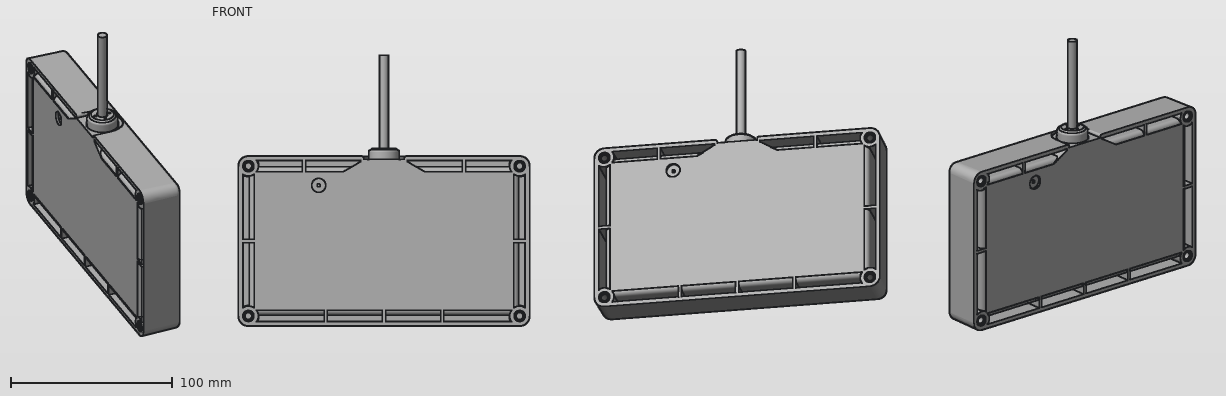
import cadquery as cq
import math

WIDTH = 180.1
DEPTH = 25.8
HEIGHT = 105.2
CORNER_RADIUS = 6.3
DRAFT_ANGLE = 1.0
BACK_EDGE_RADIUS = 2.9

WALL = 2.7
CHANNEL_WIDTH = 7.2
CHANNEL_DEPTH = DEPTH - WALL
CORE_STEP = 0.4
CORE_EDGE_RADIUS = 3.0
RIB_THICKNESS = 2.0
BOTTOM_RIB_SPACING = 36.0
TOP_RIB_X = 49.3

BLOCK_INNER_HALF_WIDTH = 25.4
BLOCK_OUTER_HALF_WIDTH = 14.2
BLOCK_FLANK_ANGLE = 30.0

BOSS_RADIUS = 6.1
SCREW_RADIUS = 2.2
SCREW_CHAMFER = 0.5
SCREW_CHAMFER_ANGLE = 45.0
COUNTERBORE_RADIUS = 3.5
COUNTERBORE_DEPTH = 0.5
SCREW_DEPTH = 14.4

VENT_X = -40.3
VENT_Z = 34.4
VENT_RADIUS = 4.3
VENT_DEPTH = 1.6
VENT_HOLE_RADIUS = 0.99
VENT_HOLE_DEPTH = 3.6

SEAT_RADIUS = 12.6
SEAT_DEPTH = 2.2
SEAT_LIP_RADIUS = 1.5
SOCKET_RADIUS = 10.0
SOCKET_DEPTH = 1.8

GLAND_Y = 11.9
GLAND_RADIUS = 9.5
SHOULDER_RADIUS = 8.3
TIP_RADIUS = 7.0
COLLAR_HEIGHT = 4.5
SHOULDER_HEIGHT = 6.0
GLAND_HEIGHT = 7.0
CABLE_RADIUS = 2.9
CABLE_RELIEF_RADIUS = 3.5
CABLE_RELIEF_DEPTH = 0.5
OVERALL_HEIGHT = 167.5
NOTCH_COUNT = 4
NOTCH_INNER_RADIUS = 4.5
NOTCH_OUTER_RADIUS = 5.8
NOTCH_WIDTH = 1.5
NOTCH_DEPTH = 0.5

TOP_Z = HEIGHT / 2
SEAT_Z = TOP_Z - SEAT_DEPTH
SOCKET_Z = SEAT_Z - SOCKET_DEPTH
CABLE_TOP_Z = OVERALL_HEIGHT - HEIGHT / 2
CAVITY_HALF_X = WIDTH / 2 - WALL
CAVITY_HALF_Z = HEIGHT / 2 - WALL
CORE_HALF_X = CAVITY_HALF_X - CHANNEL_WIDTH
CORE_HALF_Z = CAVITY_HALF_Z - CHANNEL_WIDTH
BOSS_X = WIDTH / 2 - CORNER_RADIUS
BOSS_Z = HEIGHT / 2 - CORNER_RADIUS
BOSS_POINTS = [(sx * BOSS_X, sz * BOSS_Z) for sx in (-1, 1) for sz in (-1, 1)]


def front_plane(y=0.0):
    """XZ sketch plane at depth y; a negative extrusion goes into the housing."""
    return cq.Workplane("XZ", origin=(0, y, 0))


def block_at(x, z, size_x, size_z):
    """Prism as deep as the channel, centred on (x, z)."""
    return front_plane().center(x, z).rect(size_x, size_z).extrude(-CHANNEL_DEPTH)


def make_shell():
    """Drafted block with rounded corners and a rounded back edge."""
    outline = cq.Sketch().rect(WIDTH, HEIGHT).vertices().fillet(CORNER_RADIUS)
    shell = front_plane().placeSketch(outline).extrude(-DEPTH, taper=DRAFT_ANGLE)
    return shell.faces(">Y").edges().fillet(BACK_EDGE_RADIUS)


def make_core():
    """Centre of the housing: a thin plate on a larger block with a rounded front edge."""
    block_half_x = CORE_HALF_X + CORE_EDGE_RADIUS
    block_half_z = CORE_HALF_Z + CORE_EDGE_RADIUS
    block = front_plane(CORE_STEP).rect(2 * block_half_x, 2 * block_half_z)
    block = block.extrude(CORE_STEP - CHANNEL_DEPTH).faces("<Y").edges().fillet(CORE_EDGE_RADIUS)
    plate = front_plane().rect(2 * CORE_HALF_X, 2 * CORE_HALF_Z).extrude(-2 * CORE_STEP)
    return block.union(plate)


def make_gland_block():
    """Trapezoidal block that closes the channel below the gland seat."""
    flank_run = BLOCK_INNER_HALF_WIDTH - BLOCK_OUTER_HALF_WIDTH
    flank_top_z = CORE_HALF_Z + flank_run * math.tan(math.radians(BLOCK_FLANK_ANGLE))
    points = [
        (-BLOCK_INNER_HALF_WIDTH, CORE_HALF_Z),
        (-BLOCK_OUTER_HALF_WIDTH, flank_top_z),
        (-BLOCK_OUTER_HALF_WIDTH, TOP_Z),
        (BLOCK_OUTER_HALF_WIDTH, TOP_Z),
        (BLOCK_OUTER_HALF_WIDTH, flank_top_z),
        (BLOCK_INNER_HALF_WIDTH, CORE_HALF_Z),
    ]
    return front_plane().polyline(points).close().extrude(-CHANNEL_DEPTH)


def make_pockets():
    """Edge channel with the core, ribs, bosses and gland block left standing."""
    pockets = front_plane().rect(2 * CAVITY_HALF_X, 2 * CAVITY_HALF_Z)
    pockets = pockets.extrude(-CHANNEL_DEPTH, taper=DRAFT_ANGLE)
    pockets = pockets.cut(make_core()).cut(make_gland_block())
    for x in (-BOTTOM_RIB_SPACING, 0, BOTTOM_RIB_SPACING):
        pockets = pockets.cut(block_at(x, -BOSS_Z, RIB_THICKNESS, 2 * CHANNEL_WIDTH))
    for side in (-1, 1):
        pockets = pockets.cut(block_at(side * TOP_RIB_X, BOSS_Z, RIB_THICKNESS, 2 * CHANNEL_WIDTH))
        pockets = pockets.cut(block_at(side * BOSS_X, 0, 2 * CHANNEL_WIDTH, RIB_THICKNESS))
    bosses = front_plane().pushPoints(BOSS_POINTS).circle(BOSS_RADIUS)
    bosses = bosses.extrude(-CHANNEL_DEPTH, taper=-DRAFT_ANGLE)
    return pockets.cut(bosses)


def make_stepped_holes(points, radius, depth, step_radius, step_depth):
    """Blind holes in the front face, each with a wider mouth."""
    holes = front_plane().pushPoints(points).circle(radius).extrude(-depth)
    mouths = front_plane().pushPoints(points).circle(step_radius).extrude(-step_depth)
    return holes.union(mouths)


def make_seat():
    """U-shaped recess, open at the front, with a rounded lip."""
    seat = (
        cq.Workplane("XY", origin=(0, 0, SEAT_Z))
        .moveTo(-SEAT_RADIUS, 0)
        .lineTo(-SEAT_RADIUS, GLAND_Y)
        .threePointArc((0, GLAND_Y + SEAT_RADIUS), (SEAT_RADIUS, GLAND_Y))
        .lineTo(SEAT_RADIUS, 0)
        .close()
        .extrude(SEAT_DEPTH)
    )
    lip_middle = SEAT_LIP_RADIUS * (1 - math.sqrt(0.5))

    def lip_profile(plane):
        return (
            plane.moveTo(SEAT_RADIUS, TOP_Z - SEAT_LIP_RADIUS)
            .threePointArc(
                (SEAT_RADIUS + lip_middle, TOP_Z - lip_middle),
                (SEAT_RADIUS + SEAT_LIP_RADIUS, TOP_Z),
            )
            .lineTo(SEAT_RADIUS, TOP_Z)
            .close()
        )

    straight_lip = lip_profile(front_plane()).extrude(-GLAND_Y)
    curved_lip = lip_profile(front_plane(GLAND_Y)).revolve(180, (0, 0, 0), (0, 1, 0))
    seat = seat.union(straight_lip).union(straight_lip.mirror("YZ"))
    return seat.union(curved_lip)


def make_socket():
    """Round socket in the seat floor, slightly wider than the gland."""
    return cq.Workplane("XY", origin=(0, GLAND_Y, SOCKET_Z)).circle(SOCKET_RADIUS).extrude(SOCKET_DEPTH)


def make_housing():
    """Shell with pockets, screw holes, vent, gland seat and socket cut into it."""
    screw_holes = make_stepped_holes(
        BOSS_POINTS, SCREW_RADIUS, SCREW_DEPTH, COUNTERBORE_RADIUS, COUNTERBORE_DEPTH
    )
    countersink = front_plane(COUNTERBORE_DEPTH).pushPoints(BOSS_POINTS)
    countersink = countersink.circle(SCREW_RADIUS + SCREW_CHAMFER)
    countersink = countersink.extrude(-SCREW_CHAMFER, taper=SCREW_CHAMFER_ANGLE)
    screw_holes = screw_holes.union(countersink)
    vent = make_stepped_holes(
        [(VENT_X, VENT_Z)], VENT_HOLE_RADIUS, VENT_HOLE_DEPTH, VENT_RADIUS, VENT_DEPTH
    )
    housing = make_shell().cut(make_pockets()).cut(screw_holes).cut(vent)
    return housing.cut(make_seat()).cut(make_socket())


def make_notch():
    """Triangular notch in the gland top, pointing away from the cable on the +X side."""
    points = [
        (NOTCH_INNER_RADIUS, -NOTCH_WIDTH / 2),
        (NOTCH_OUTER_RADIUS, 0),
        (NOTCH_INNER_RADIUS, NOTCH_WIDTH / 2),
    ]
    return cq.Workplane("XY").polyline(points).close().extrude(-NOTCH_DEPTH)


def make_cable():
    """Cable moulded into its gland, which stands in the socket with a round shoulder."""
    gland_top_z = SEAT_Z + GLAND_HEIGHT
    shoulder_z = SEAT_Z + SHOULDER_HEIGHT
    collar_z = SEAT_Z + COLLAR_HEIGHT
    cable = (
        front_plane(GLAND_Y)
        .moveTo(0, SOCKET_Z)
        .lineTo(GLAND_RADIUS, SOCKET_Z)
        .lineTo(GLAND_RADIUS, collar_z)
        .tangentArcPoint((SHOULDER_RADIUS, shoulder_z), relative=False)
        .lineTo(TIP_RADIUS, gland_top_z)
        .lineTo(CABLE_RELIEF_RADIUS, gland_top_z)
        .lineTo(CABLE_RADIUS, gland_top_z - CABLE_RELIEF_DEPTH)
        .lineTo(CABLE_RADIUS, CABLE_TOP_Z)
        .lineTo(0, CABLE_TOP_Z)
        .close()
        .revolve(360, (0, 0, 0), (0, 1, 0))
    )
    notch = make_notch()
    for index in range(NOTCH_COUNT):
        turned = notch.rotate((0, 0, 0), (0, 0, 1), index * 360 / NOTCH_COUNT)
        cable = cable.cut(turned.translate((0, GLAND_Y, gland_top_z)))
    return cable


housing = make_housing()
cable = make_cable()

result = cq.Compound.makeCompound([housing.solids().val(), cable.solids().val()])